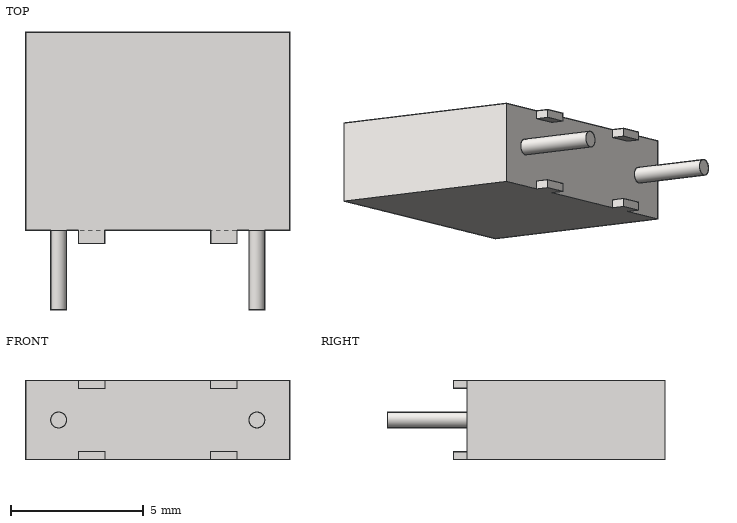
import cadquery as cq

body_width = 10.0
body_height = 3.0
overall_depth = 10.5
pin_length = 3.0
body_depth = overall_depth - pin_length

pin_diameter = 0.6
pin_spacing = 7.5

tab_width = 1.0
tab_height = 0.3
tab_length = 0.5
tab_spacing = 5.0
tab_row_spacing = body_height - tab_height


def make_body():
    return cq.Workplane("XY").box(body_width, body_depth, body_height, centered=(True, False, True))


def make_pins():
    """Pins extending from the front face toward -Y."""
    return (
        cq.Workplane("XZ")
        .rarray(pin_spacing, 0.1, 2, 1)
        .circle(pin_diameter / 2)
        .extrude(pin_length)
    )


def make_tabs():
    """Two tabs along each long edge of the front face, extending toward -Y."""
    return (
        cq.Workplane("XZ")
        .rarray(tab_spacing, tab_row_spacing, 2, 2)
        .rect(tab_width, tab_height)
        .extrude(tab_length)
    )


result = make_body().union(make_pins()).union(make_tabs())